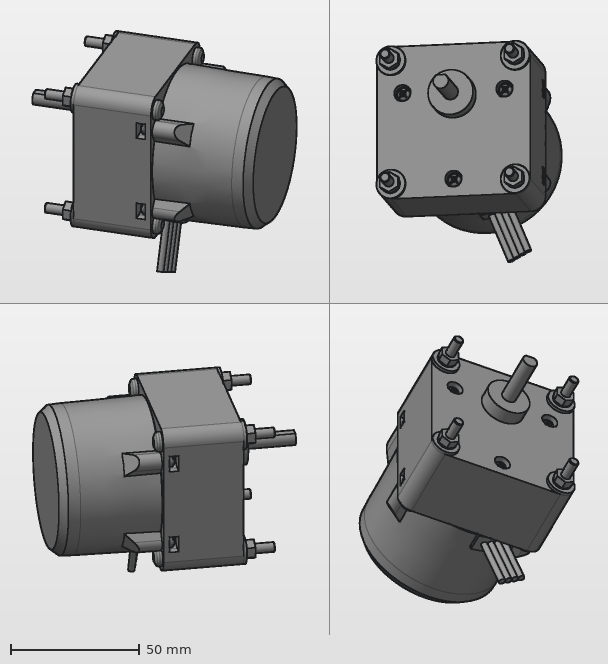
import cadquery as cq
import math


housing_side = 61.0
bolt_pitch = 49.5
gearbox_length = 25.8
plate_thickness = 6.0
pad_height = 1.3
corner_radius = (housing_side - bolt_pitch) / 2
housing_length = gearbox_length + plate_thickness

shaft_height = 9.9
shaft_diameter = 6.0
shaft_radius = shaft_diameter / 2
shaft_length = 26.1
flat_length = 12.0
flat_height = 2.5
boss_diameter = 17.9
boss_radius = boss_diameter / 2
boss_length = 6.0

bolt_radius = 2.0
bolt_reach = 13.3
bolt_chamfer = 0.3
washer_radius = 3.8
washer_thickness = 0.5
nut_across_corners = 8.1
nut_thickness = 3.4
bolt_head_radius = 4.0
bolt_head_height = 3.0

front_screw_count = 3
front_screw_circle = 23.5
front_screw_start_angle = 30
front_hole_radius = 3.3
front_hole_depth = 3.6

small_head_radius = 2.6
small_head_height = 2.6
recess_length = 3.6
recess_width = 0.4
recess_depth = 0.9

head_rim_share = 0.4
head_shoulder_share = (0.6, 0.95)
head_crown_share = (0.72, 0.86)
head_top_share = 0.45

register_radius = 28.7
register_length = 0.6
can_length = 40.4
can_base_radius = housing_side / 2
can_seam = 32.4
can_seam_radius = 29.9
can_rim = 37.1
can_rim_radius = 29.7
can_end_radius = 27.0
can_start = housing_length + register_length

lug_side_offset = 27.0
lug_height_offset = 17.4
lug_circle = math.hypot(lug_side_offset, lug_height_offset)
lug_angle = math.degrees(math.atan2(lug_height_offset, lug_side_offset))
lug_radius = 3.5
lug_flare = 21.0
lug_length = 14.5
lug_foot = 30.1
pocket_width = 6.5
pocket_depth = 3.7

outlet_angle = -22.5
outlet_width = 15.8
outlet_length = 7.4
outlet_radius = 31.6
wire_count = 4
wire_diameter = 2.7
wire_radius = wire_diameter / 2
wire_end = 51.5
wire_pitch = 2.6
wire_step = 0.8
wire_inset = 1.5

AXIS_START = (0, 0, 0)
AXIS_END = (1, 0, 0)


def cylinder_x(radius, start, end, y=0, z=0):
    return cq.Workplane("YZ", origin=(start, y, z)).circle(radius).extrude(end - start)


def about_axis(body, angle):
    return body.rotate(AXIS_START, AXIS_END, angle)


def pan_head(radius, height):
    """Domed head seated on X = 0 and rising toward +X."""
    shoulder = (head_shoulder_share[0] * height, head_shoulder_share[1] * radius)
    crown = (head_crown_share[0] * height, head_crown_share[1] * radius)
    profile = (
        cq.Workplane("XY")
        .lineTo(0, radius)
        .lineTo(head_rim_share * height, radius)
        .threePointArc(shoulder, crown)
        .lineTo(height, head_top_share * radius)
        .lineTo(height, 0)
        .close()
    )
    return profile.revolve(360, AXIS_START, AXIS_END)


def small_screw_head():
    """Pan head facing -X, with a diagonal cross recess."""
    head = pan_head(small_head_radius, small_head_height)
    for angle in (45, 135):
        slot = cq.Workplane("XY").box(2 * recess_depth, recess_length, recess_width)
        slot = about_axis(slot.translate((small_head_height, 0, 0)), angle)
        head = head.cut(slot)
    return head.mirror("YZ")


def housing():
    block = (
        cq.Workplane("YZ")
        .rect(housing_side, housing_side)
        .extrude(housing_length)
        .edges("|X")
        .fillet(corner_radius)
    )
    boss = cylinder_x(boss_radius, -boss_length, 0, z=shaft_height)
    return block.union(boss)


def shaft():
    body = cylinder_x(shaft_radius, -shaft_length, 0, z=shaft_height)
    flat = (
        cq.Workplane("XY")
        .box(flat_length, 2 * shaft_radius, shaft_radius, centered=(False, True, False))
        .translate((-shaft_length, 0, shaft_height + flat_height))
    )
    return body.cut(flat)


def corner_bolt(y, z):
    """Pad, washer, nut and stud on the front, with a pan head at the back of the housing."""
    pad = cylinder_x(corner_radius, -pad_height, 0)
    nut_seat = -pad_height - washer_thickness
    washer = cylinder_x(washer_radius, nut_seat, -pad_height)
    nut = (
        cq.Workplane("YZ", origin=(nut_seat, 0, 0))
        .polygon(6, nut_across_corners)
        .extrude(-nut_thickness)
    )
    nut = about_axis(nut, 90)
    stud = cylinder_x(bolt_radius, -bolt_reach, 0).faces("<X").chamfer(bolt_chamfer)
    head = pan_head(bolt_head_radius, bolt_head_height).translate((housing_length, 0, 0))
    bolt = pad.union(washer).union(nut).union(stud).union(head)
    return bolt.translate((0, y, z))


def motor_can():
    register = cylinder_x(register_radius, housing_length, can_start)
    profile = (
        cq.Workplane("XY", origin=(can_start, 0, 0))
        .lineTo(0, can_base_radius)
        .lineTo(can_seam, can_seam_radius)
        .lineTo(can_rim, can_rim_radius)
        .lineTo(can_length, can_end_radius)
        .lineTo(can_length, 0)
        .close()
    )
    return register.union(profile.revolve(360, AXIS_START, AXIS_END))


def lug():
    """Rounded lug on the +Y side of the can, its end sloped 45 degrees down to the can."""
    flare = math.radians(lug_flare)
    tangent_y = lug_circle + lug_radius * math.sin(flare)
    tangent_z = lug_radius * math.cos(flare)
    root_y = lug_foot - lug_radius
    root_z = tangent_z + (tangent_y - root_y) * math.tan(flare)
    body = (
        cq.Workplane("YZ", origin=(can_start, 0, 0))
        .moveTo(root_y, -root_z)
        .lineTo(tangent_y, -tangent_z)
        .threePointArc((lug_circle + lug_radius, 0), (tangent_y, tangent_z))
        .lineTo(root_y, root_z)
        .close()
        .extrude(lug_length)
    )
    lug_end = can_start + lug_length
    rise = 2 * lug_radius
    slope = (
        cq.Workplane("XY")
        .moveTo(lug_end, lug_foot)
        .lineTo(lug_end, lug_foot + rise)
        .lineTo(lug_end - rise, lug_foot + rise)
        .close()
        .extrude(2 * root_z, both=True)
    )
    return body.cut(slope)


def side_pocket(y, z):
    """Pocket behind the gearbox, open to the side, with a round inner end at the screw."""
    side = math.copysign(1, y)
    round_end = cylinder_x(pocket_width / 2, gearbox_length, gearbox_length + pocket_depth, y, z)
    opening = (
        cq.Workplane("XY")
        .box(pocket_depth, pocket_width, pocket_width)
        .translate((gearbox_length + pocket_depth / 2, y + side * pocket_width / 2, z))
    )
    return round_end.union(opening)


def wire_outlet():
    """Raised outlet under the can with a staggered row of wires leaving it."""
    outlet_end = housing_length + outlet_length
    below_axis = (
        cq.Workplane("XY")
        .box(outlet_end, outlet_width, outlet_radius, centered=(False, True, False))
        .translate((0, 0, -outlet_radius))
    )
    outlet = cylinder_x(outlet_radius, housing_length, outlet_end).intersect(below_axis)
    for index in range(wire_count):
        y = (index - (wire_count - 1) / 2) * wire_pitch
        x = housing_length + wire_inset + index * wire_step
        wire = (
            cq.Workplane("XY", origin=(x, y, -wire_end))
            .circle(wire_radius)
            .extrude(wire_end - register_radius)
        )
        outlet = outlet.union(wire)
    return about_axis(outlet, outlet_angle)


result = housing().union(shaft()).union(motor_can()).union(wire_outlet())

for bolt_y in (-bolt_pitch / 2, bolt_pitch / 2):
    for bolt_z in (-bolt_pitch / 2, bolt_pitch / 2):
        result = result.union(corner_bolt(bolt_y, bolt_z))

for index in range(front_screw_count):
    direction = math.radians(front_screw_start_angle + index * 360 / front_screw_count)
    screw_y = front_screw_circle * math.cos(direction)
    screw_z = front_screw_circle * math.sin(direction)
    hole = cylinder_x(front_hole_radius, 0, front_hole_depth, screw_y, screw_z)
    screw = small_screw_head().translate((front_hole_depth, screw_y, screw_z))
    result = result.cut(hole).union(screw)

for angle in (lug_angle, 180 - lug_angle, 180 + lug_angle, -lug_angle):
    screw_y = lug_circle * math.cos(math.radians(angle))
    screw_z = lug_circle * math.sin(math.radians(angle))
    screw = small_screw_head().translate((gearbox_length + pocket_depth, screw_y, screw_z))
    result = result.union(about_axis(lug(), angle)).cut(side_pocket(screw_y, screw_z)).union(screw)